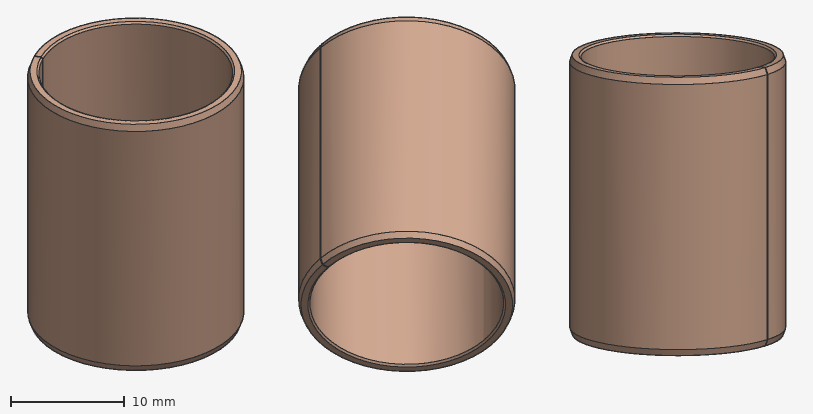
import cadquery as cq
import math

length = 25.0
outer_radius = 9.5
wall = 1.0
inner_radius = outer_radius - wall

lead_in_length = 0.6
lead_in_angle = 20.0
lead_in_depth = lead_in_length * math.tan(math.radians(lead_in_angle))
bore_break = 0.18

split_width = 0.1

half_length = length / 2
wall_profile = [
    (inner_radius, -half_length + bore_break),
    (inner_radius + bore_break, -half_length),
    (outer_radius - lead_in_depth, -half_length),
    (outer_radius, -half_length + lead_in_length),
    (outer_radius, half_length - lead_in_length),
    (outer_radius - lead_in_depth, half_length),
    (inner_radius + bore_break, half_length),
    (inner_radius, half_length - bore_break),
]
sleeve = cq.Workplane("XZ").polyline(wall_profile).close().revolve(360, (0, 0), (0, 1))

split_cutter = (
    cq.Workplane("XY")
    .box(outer_radius, split_width, length)
    .translate((-outer_radius / 2, split_width / 2, 0))
)

result = sleeve.cut(split_cutter)